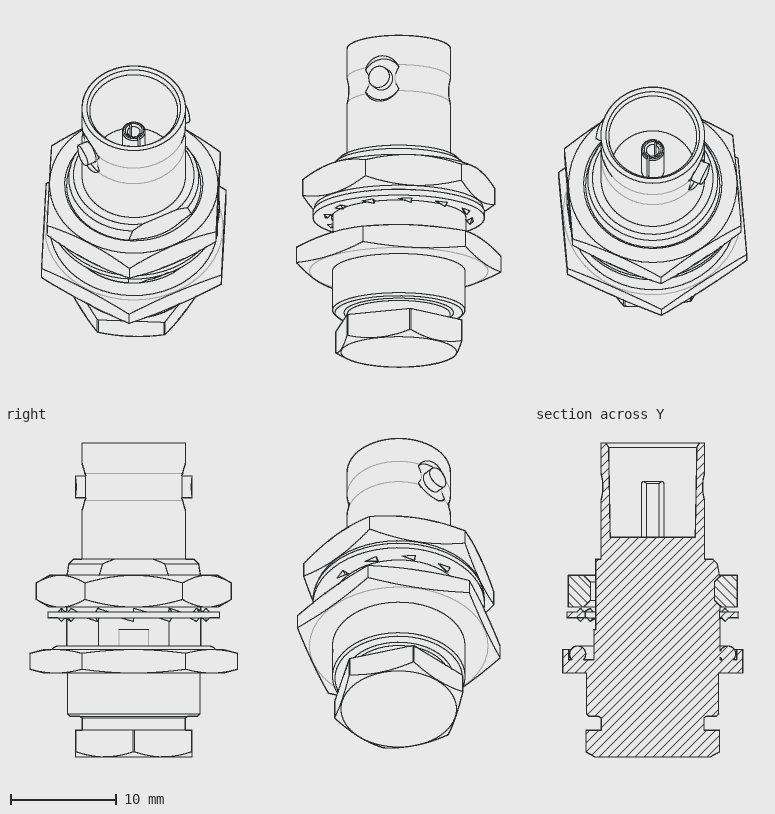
import cadquery as cq
import math

height = 29.65

clamp_across_flats = 11.0
clamp_corner_radius = 6.32
clamp_top = 2.55
clamp_chamfer_radius = 5.45
clamp_chamfer_angle = 30.0

neck_radius = 4.85
neck_flare_radius = 5.15
neck_flare_bottom = 3.7

barrel_radius = 6.25
barrel_bottom = 3.85
barrel_chamfer = 0.25

flange_across_flats = 17.0
flange_bottom = 7.92
flange_top = 10.17
flange_chamfer_radius = 8.42
flange_chamfer_angle = 15.0

seal_ring_radius = 7.1
seal_section_radius = 0.77
seal_center_z = 9.73
seal_groove_radius = 7.92
seal_groove_floor = 9.2

thread_radius = 6.35
thread_lead_bottom = 16.9
thread_lead_radius = 6.15
thread_chamfer_bottom = 18.23
thread_top_radius = 5.7
thread_top = 18.68

thread_flat_x = 5.4
shoulder_radius = 5.57
shoulder_top = 12.05

tube_radius = 4.9
tube_groove_radius = 4.7
tube_groove_half_width = 1.27
lug_z = 25.5

lug_radius = 1.05
lug_reach = 5.51
spot_flat_y = 4.55
spot_radius = 2.0
spot_wall_slope = 0.65

bore_rim_radius = 4.42
bore_mouth_radius = 4.15
bore_chamfer_depth = 0.42
bore_floor_radius = 4.0
bore_floor = 20.75

contact_radius = 1.07
contact_tip_radius = 0.95
contact_tip_length = 0.15
contact_top = 26.0
contact_hole_radius = 0.6
contact_mouth_radius = 0.8
contact_slot_width = 0.18

nut_across_flats = 15.95
nut_bottom = 14.15
nut_top = 17.17
nut_chamfer_radius = 7.95
nut_chamfer_angle = 30.0
nut_bore_radius = 5.87
nut_mouth_radius = 6.52

washer_radius = 8.1
washer_bottom = 13.13
washer_top = 13.7
tooth_count = 12
tooth_ring_radius = 6.82
tooth_half_diagonal = 0.62
tooth_length = 2.22


def cylinder(radius, bottom, top):
    """Round bar about the Z axis."""
    return cq.Workplane("XY").workplane(offset=bottom).circle(radius).extrude(top - bottom)


def turned(points):
    """Solid of revolution about Z from (radius, z) points."""
    return cq.Workplane("XZ").polyline(points).close().revolve(360, (0, 0), (0, 1))


def hexagon(across_flats, bottom, top, first_corner_angle):
    """Hexagonal prism with a corner at the given angle from +X."""
    corner_diameter = across_flats / math.cos(math.pi / 6)
    prism = cq.Workplane("XY").polygon(6, corner_diameter).extrude(top - bottom)
    return prism.rotate((0, 0, 0), (0, 0, 1), first_corner_angle).translate((0, 0, bottom))


def chamfer_envelope(face_radius, outer_radius, angle, bottom, top, bevel_top):
    """Turned blank that bevels the corners of a hexagon at its bottom, and also at its top if asked."""
    drop = (outer_radius - face_radius) * math.tan(math.radians(angle))
    points = [(0, bottom), (face_radius, bottom), (outer_radius, bottom + drop)]
    if bevel_top:
        points += [(outer_radius, top - drop), (face_radius, top)]
    else:
        points += [(outer_radius, top)]
    points += [(0, top)]
    return turned(points)


def beveled_hexagon(across_flats, bottom, top, chamfer_radius, chamfer_angle):
    """Hexagon with corners on the Y axis, beveled at both ends."""
    corner_radius = across_flats / 2 / math.cos(math.pi / 6)
    envelope = chamfer_envelope(chamfer_radius, corner_radius, chamfer_angle, bottom, top, True)
    return hexagon(across_flats, bottom, top, 30).intersect(envelope)


def make_nut():
    blank = beveled_hexagon(
        nut_across_flats, nut_bottom, nut_top, nut_chamfer_radius, nut_chamfer_angle
    )
    mouth_depth = nut_mouth_radius - nut_bore_radius
    bore = turned([
        (0, nut_bottom),
        (nut_mouth_radius, nut_bottom),
        (nut_bore_radius, nut_bottom + mouth_depth),
        (nut_bore_radius, nut_top - mouth_depth),
        (nut_mouth_radius, nut_top),
        (0, nut_top),
    ])
    return blank.cut(bore)


def make_tooth(direction):
    """Half of a twisted tooth at +X: tallest at its end face, fading out along the rim.

    Direction +1 rises above the washer and fades counterclockwise,
    -1 drops below it and fades clockwise.
    """
    middle = (washer_bottom + washer_top) / 2
    inner = cq.Vector(tooth_ring_radius - tooth_half_diagonal, 0, middle)
    outer = cq.Vector(tooth_ring_radius + tooth_half_diagonal, 0, middle)
    peak = cq.Vector(tooth_ring_radius, 0, middle + direction * tooth_half_diagonal)
    tip = cq.Vector(tooth_ring_radius, direction * tooth_length, middle)
    triangles = [(inner, outer, peak), (inner, outer, tip), (outer, peak, tip), (peak, inner, tip)]
    faces = [cq.Face.makeFromWires(cq.Wire.makePolygon(corners, close=True)) for corners in triangles]
    return cq.Workplane(cq.Solid.makeSolid(cq.Shell.makeShell(faces)))


def make_washer():
    washer = cylinder(washer_radius, washer_bottom, washer_top)
    for index in range(tooth_count):
        for direction in (1, -1):
            tooth = make_tooth(direction).rotate((0, 0, 0), (0, 0, 1), index * 360 / tooth_count)
            washer = washer.union(tooth)
    return washer.cut(cylinder(thread_radius, flange_top, nut_top))


def make_clamp_hex():
    envelope = chamfer_envelope(
        clamp_chamfer_radius, clamp_corner_radius, clamp_chamfer_angle, 0, clamp_top, False
    )
    return hexagon(clamp_across_flats, 0, clamp_top, 0).intersect(envelope)


def make_rear_barrel():
    return turned([
        (0, clamp_top),
        (neck_radius, clamp_top),
        (neck_radius, neck_flare_bottom),
        (neck_flare_radius, barrel_bottom),
        (barrel_radius - barrel_chamfer, barrel_bottom),
        (barrel_radius, barrel_bottom + barrel_chamfer),
        (barrel_radius, flange_bottom),
        (0, flange_bottom),
    ])


def make_flange():
    flange = beveled_hexagon(
        flange_across_flats, flange_bottom, flange_top, flange_chamfer_radius, flange_chamfer_angle
    )
    return flange.cut(cylinder(seal_groove_radius, seal_groove_floor, flange_top))


def make_seal_ring():
    section = cq.Workplane("XZ").center(seal_ring_radius, seal_center_z).circle(seal_section_radius)
    return section.revolve(360, (-seal_ring_radius, 0), (-seal_ring_radius, 1))


def make_thread():
    thread = turned([
        (0, seal_groove_floor),
        (thread_radius, seal_groove_floor),
        (thread_radius, thread_lead_bottom),
        (thread_lead_radius, thread_chamfer_bottom),
        (thread_top_radius, thread_top),
        (0, thread_top),
    ])
    flat_depth = thread_radius - thread_flat_x
    beyond_flat = (
        cq.Workplane("XY")
        .box(flat_depth, 2 * thread_radius, thread_top - seal_groove_floor, centered=(False, True, False))
        .translate((thread_flat_x, 0, seal_groove_floor))
    )
    shoulder = cylinder(shoulder_radius, seal_groove_floor, shoulder_top)
    return thread.cut(beyond_flat).union(shoulder)


def make_tube():
    """Bayonet tube with a shallow arc groove at lug height."""
    return (
        cq.Workplane("XZ")
        .moveTo(0, thread_top)
        .lineTo(tube_radius, thread_top)
        .lineTo(tube_radius, lug_z - tube_groove_half_width)
        .threePointArc((tube_groove_radius, lug_z), (tube_radius, lug_z + tube_groove_half_width))
        .lineTo(tube_radius, height)
        .lineTo(0, height)
        .close()
        .revolve(360, (0, 0), (0, 1))
    )


def make_bore():
    return turned([
        (0, bore_floor),
        (bore_floor_radius, bore_floor),
        (bore_mouth_radius, height - bore_chamfer_depth),
        (bore_rim_radius, height),
        (0, height),
    ])


def make_spotface(side):
    """Conical recess that leaves a flat seat for the lug on the given Y side."""
    depth = lug_reach - spot_flat_y
    return cq.Workplane(cq.Solid.makeCone(
        spot_radius,
        spot_radius + spot_wall_slope * depth,
        depth,
        pnt=cq.Vector(0, side * spot_flat_y, lug_z),
        dir=cq.Vector(0, side, 0),
    ))


def make_lug(side):
    """Round peg from inside the tube wall, its end following the cylinder of the lug reach."""
    root_y = (bore_rim_radius + spot_flat_y) / 2
    peg = cq.Workplane(cq.Solid.makeCylinder(
        lug_radius,
        lug_reach - root_y,
        pnt=cq.Vector(0, side * root_y, lug_z),
        dir=cq.Vector(0, side, 0),
    ))
    return peg.intersect(cylinder(lug_reach, lug_z - lug_radius, lug_z + lug_radius))


def make_contact():
    mouth_depth = contact_mouth_radius - contact_hole_radius
    sleeve = turned([
        (contact_hole_radius, bore_floor),
        (contact_radius, bore_floor),
        (contact_radius, contact_top - contact_tip_length),
        (contact_tip_radius, contact_top),
        (contact_mouth_radius, contact_top),
        (contact_hole_radius, contact_top - mouth_depth),
    ])
    slot = (
        cq.Workplane("XY")
        .box(2 * contact_radius, contact_slot_width, contact_top - bore_floor, centered=(True, True, False))
        .translate((0, 0, bore_floor))
    )
    return sleeve.cut(slot)


def make_housing(nut):
    housing = make_clamp_hex().union(make_rear_barrel()).union(make_flange())
    housing = housing.union(make_thread()).union(make_seal_ring()).union(make_tube())
    housing = housing.cut(make_bore()).union(make_contact())
    for side in (-1, 1):
        housing = housing.cut(make_spotface(side)).union(make_lug(side))
    return housing.cut(nut)


nut = make_nut()
washer = make_washer()
housing = make_housing(nut)

result = cq.Compound.makeCompound([housing.solids().val(), nut.solids().val(), washer.solids().val()])